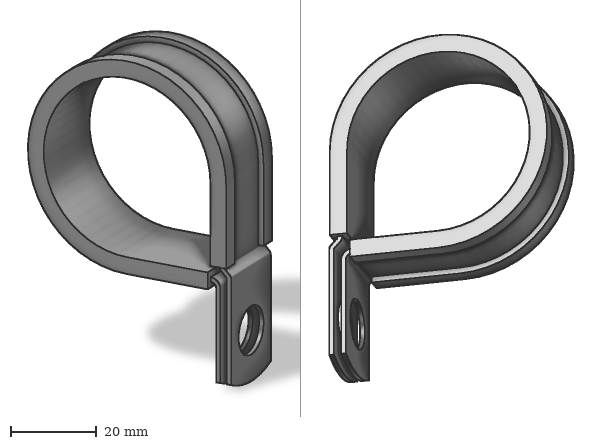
import cadquery as cq
import math

outer_radius = 26.4
cushion_thickness = 4.2
cushion_width = 22.1
vertical_leg_length = 20.45
horizontal_leg_length = 21.5

groove_depth = 1.4
groove_width = 13.8

band_thickness = 1.2
band_width = 19.05
tab_tip_z = -51.7
outer_tab_face_x = 26.9
tab_gap = 1.7
tip_rise = 2.0
hole_diameter = 11.95
hole_z = -39.05

jog_angle = 45
jog_bend_radius = 0.8
jog_lead = 0.4

embed = 0.8

band_radius = outer_radius - groove_depth - band_thickness / 2
outer_tab_x = outer_tab_face_x - band_thickness / 2
inner_tab_x = outer_tab_x - band_thickness - tab_gap


def loop_strip(outside, inside, width):
    """Strip between two radii, following the loop and both legs."""
    outline = (
        cq.Workplane("XZ")
        .moveTo(horizontal_leg_length, -outside)
        .lineTo(0, -outside)
        .threePointArc((-outside * math.sqrt(0.5), outside * math.sqrt(0.5)), (outside, 0))
        .lineTo(outside, -vertical_leg_length)
        .lineTo(inside, -vertical_leg_length)
        .lineTo(inside, 0)
        .threePointArc((-inside * math.sqrt(0.5), inside * math.sqrt(0.5)), (0, -inside))
        .lineTo(horizontal_leg_length, -inside)
        .close()
    )
    return outline.extrude(width / 2, both=True)


def make_cushion():
    groove_floor = outer_radius - groove_depth
    body = loop_strip(outer_radius, outer_radius - cushion_thickness, cushion_width)
    return body.cut(loop_strip(outer_radius, groove_floor, groove_width))


def make_inner_tab():
    """Tab that turns down from the end of the horizontal leg."""
    bend_radius = inner_tab_x - horizontal_leg_length
    bend_end_z = -band_radius - bend_radius
    path = (
        cq.Workplane("XZ")
        .moveTo(horizontal_leg_length - embed, -band_radius)
        .lineTo(horizontal_leg_length, -band_radius)
        .tangentArcPoint((inner_tab_x, bend_end_z), relative=False)
        .lineTo(inner_tab_x, tab_tip_z)
    )
    section = cq.Workplane("YZ", origin=(horizontal_leg_length - embed, 0, -band_radius))
    return section.rect(band_width, band_thickness).sweep(path)


def make_outer_tab():
    """Tab that jogs outward below the end of the vertical leg."""
    angle = math.radians(jog_angle)
    bend_x = jog_bend_radius * (1 - math.cos(angle))
    bend_z = jog_bend_radius * math.sin(angle)
    slope_x = outer_tab_x - band_radius - 2 * bend_x
    slope_z = slope_x / math.tan(angle)
    jog_top_z = -vertical_leg_length - jog_lead
    path = (
        cq.Workplane("XZ")
        .moveTo(band_radius, -vertical_leg_length + embed)
        .lineTo(band_radius, jog_top_z)
        .tangentArcPoint((bend_x, -bend_z))
        .line(slope_x, -slope_z)
        .tangentArcPoint((bend_x, -bend_z))
        .lineTo(outer_tab_x, tab_tip_z)
    )
    section = cq.Workplane("XY", origin=(band_radius, 0, -vertical_leg_length + embed))
    return section.rect(band_thickness, band_width).sweep(path)


def make_tab_outline():
    """Shape of the tabs seen along X: curved tip and a bolt hole."""
    half_width = band_width / 2
    outline = (
        cq.Workplane("YZ")
        .moveTo(-half_width, 0)
        .lineTo(-half_width, tab_tip_z + tip_rise)
        .threePointArc((0, tab_tip_z), (half_width, tab_tip_z + tip_rise))
        .lineTo(half_width, 0)
        .close()
        .extrude(2 * outer_radius)
    )
    hole = cq.Workplane("YZ").center(0, hole_z).circle(hole_diameter / 2).extrude(2 * outer_radius)
    return outline.cut(hole)


cushion = make_cushion()
tab_outline = make_tab_outline()
inner_tab = make_inner_tab().intersect(tab_outline)
outer_tab = make_outer_tab().intersect(tab_outline)
result = cushion.union(inner_tab).union(outer_tab)